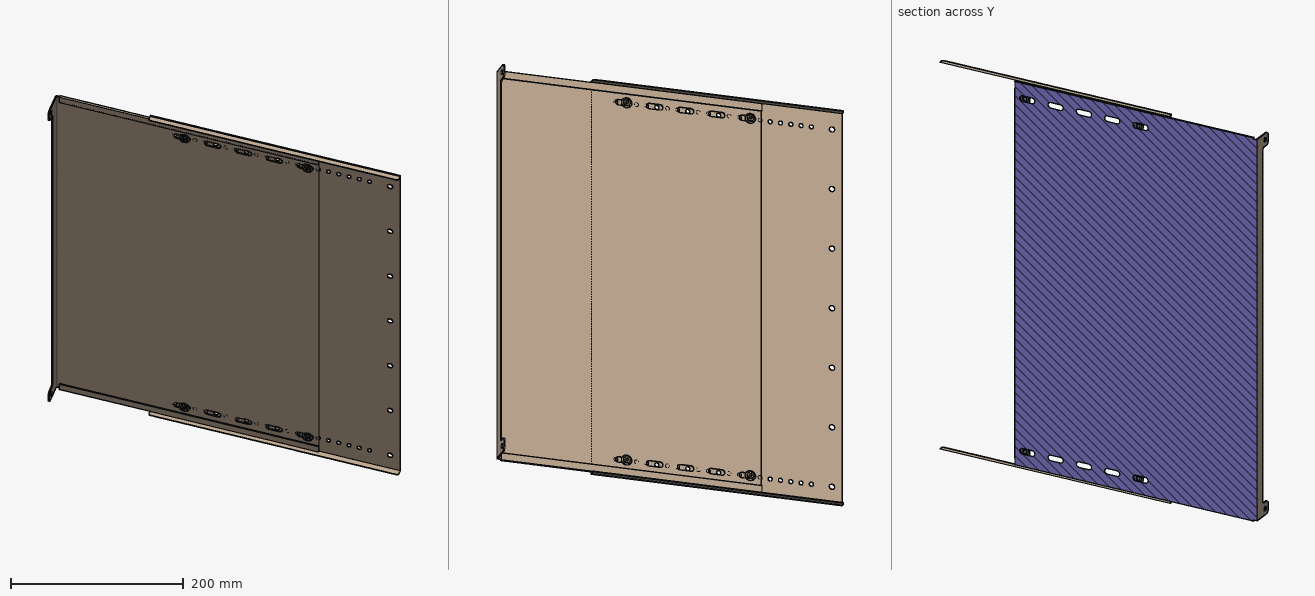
import cadquery as cq
HEIGHT = 494.5
FRONT_SHEET = 1.5
REAR_SHEET = 1.0
WIDTH = 420.0
LEFT_END = -WIDTH / 2
RIGHT_END = WIDTH / 2
BACK_Y = 11.5
JOINT_Y = BACK_Y - REAR_SHEET

ROW_Z = 225.0
ROW_HEIGHTS = (ROW_Z, -ROW_Z)
EDGE_HOLE_COUNT = 7
EDGE_HOLE_PITCH = 2 * ROW_Z / (EDGE_HOLE_COUNT - 1)
HOLE_PITCH = EDGE_HOLE_PITCH / 6
SHANK_DIAMETER = 5.0
EDGE_HOLE_X = RIGHT_END - HOLE_PITCH
LAST_HOLE_STEPS = 2
LAST_HOLE_X = EDGE_HOLE_X - LAST_HOLE_STEPS * HOLE_PITCH
ROW_HOLE_COUNT = 20
BOLT_STEPS = (18, 6)
BOLT_XS = [LAST_HOLE_X - steps * HOLE_PITCH for steps in BOLT_STEPS]
BOLT_PLACES = [(x, z) for x in BOLT_XS for z in ROW_HEIGHTS]

REAR_LENGTH = 304.5
REAR_FLANGE_DEPTH = 8.0
REAR_CORNER_RADIUS = 2.5
EDGE_HOLE_DIAMETER = 6.5

FRONT_RIGHT = 111.5
HEM_LEFT = -204.5
HEM_WIDTH = 9.0
FRONT_TOP = 245.0
END_FLANGE_TOP = 243.5
END_FLANGE_FRONT = -5.0
TAB_FRONT = -18.0
TAB_HEIGHT = 16.5
TAB_CORNER_RADIUS = 4.5
TAB_ROOT_RADIUS = 3.0
BEND_RADIUS = 0.5
TAB_HOLE_DIAMETER = 5.5
TAB_HOLE_Y = -10.5
TAB_HOLE_Z = 235.5
SLOT_COUNT = 5
SLOT_PITCH = 3 * HOLE_PITCH
SLOT_LENGTH = 20.0
SLOT_WIDTH = 7.0
LAST_SLOT_X = 94.5

BOLT_TIP_Y = 18.0
COLLAR_DIAMETER = 12.5
COLLAR_THICKNESS = 1.0
HEAD_DIAMETER = 8.0
HEAD_HEIGHT = 2.0
SOCKET_SIZE = 3.5
SOCKET_DEPTH = 1.5


def block(x_min, x_max, y_min, y_max, z_min, z_max):
    """Box between the given limits."""
    size = (x_max - x_min, y_max - y_min, z_max - z_min)
    return cq.Workplane("XY").box(*size, centered=False).translate((x_min, y_min, z_min))


def sketch_plane(y):
    """Plane at the given Y whose local axes are X and Z; positive extrusion runs toward -Y."""
    return cq.Workplane("XZ", origin=(0, y, 0))


def round_cutters(points, diameter, length, start_y):
    """Cylinders at the given (X, Z) points, running from start_y toward -Y."""
    return sketch_plane(start_y).pushPoints(points).circle(diameter / 2).extrude(length)


def make_rear_panel():
    """Flat sheet with a forward flange along its top and bottom edges, and round holes."""
    left = RIGHT_END - REAR_LENGTH
    top = HEIGHT / 2
    panel = block(left, RIGHT_END, JOINT_Y, BACK_Y, -top, top)
    flange = block(left, RIGHT_END, BACK_Y - REAR_FLANGE_DEPTH, BACK_Y, top - REAR_SHEET, top)
    flange = flange.edges("|Z and <Y").fillet(REAR_CORNER_RADIUS)
    panel = panel.union(flange).union(flange.mirror("XY"))

    row_points = [
        (LAST_HOLE_X - i * HOLE_PITCH, z) for i in range(ROW_HOLE_COUNT) for z in ROW_HEIGHTS
    ]
    row_holes = round_cutters(row_points, SHANK_DIAMETER, REAR_SHEET, BACK_Y)

    edge_points = [(EDGE_HOLE_X, -ROW_Z + i * EDGE_HOLE_PITCH) for i in range(EDGE_HOLE_COUNT)]
    edge_holes = round_cutters(edge_points, EDGE_HOLE_DIAMETER, REAR_SHEET, BACK_Y)
    return panel.cut(row_holes).cut(edge_holes)


def make_end_flange():
    """Upright flange with a rounded tab at each end, joined to a neck by a round bend."""
    outer_x = LEFT_END
    inner_x = LEFT_END + FRONT_SHEET
    flange = block(outer_x, inner_x, END_FLANGE_FRONT, JOINT_Y, -END_FLANGE_TOP, END_FLANGE_TOP)
    upper_tab = block(outer_x, inner_x, TAB_FRONT, JOINT_Y, END_FLANGE_TOP - TAB_HEIGHT, END_FLANGE_TOP)
    flange = flange.union(upper_tab).union(upper_tab.mirror("XY"))
    flange = flange.edges("|X and <Y").fillet(TAB_CORNER_RADIUS)
    tab_root_z = END_FLANGE_TOP - TAB_HEIGHT
    for z in (tab_root_z, -tab_root_z):
        root = cq.selectors.NearestToPointSelector((LEFT_END, END_FLANGE_FRONT, z))
        flange = flange.edges("|X").edges(root).fillet(TAB_ROOT_RADIUS)

    neck = block(outer_x, HEM_LEFT, JOINT_Y - FRONT_SHEET, JOINT_Y, -END_FLANGE_TOP, END_FLANGE_TOP)
    flange = flange.union(neck).clean()
    outside = cq.selectors.NearestToPointSelector((outer_x, JOINT_Y, 0))
    inside = cq.selectors.NearestToPointSelector((inner_x, JOINT_Y - FRONT_SHEET, 0))
    flange = flange.edges("|Z").edges(outside).fillet(BEND_RADIUS + FRONT_SHEET)
    flange = flange.edges("|Z").edges(inside).fillet(BEND_RADIUS)

    hole_points = [(TAB_HOLE_Y, TAB_HOLE_Z), (TAB_HOLE_Y, -TAB_HOLE_Z)]
    tab_holes = (
        cq.Workplane("YZ", origin=(outer_x, 0, 0))
        .pushPoints(hole_points)
        .circle(TAB_HOLE_DIAMETER / 2)
        .extrude(FRONT_SHEET)
    )
    return flange.cut(tab_holes)


def make_front_panel():
    """Sheet with a closed hem along top and bottom, slots, and a bent flange on its left end."""
    front_y = JOINT_Y - FRONT_SHEET
    panel = block(HEM_LEFT, FRONT_RIGHT, front_y, JOINT_Y, -FRONT_TOP, FRONT_TOP)
    hem = block(HEM_LEFT, FRONT_RIGHT, front_y - FRONT_SHEET, front_y, FRONT_TOP - HEM_WIDTH, FRONT_TOP)
    panel = panel.union(hem).union(hem.mirror("XY")).union(make_end_flange()).clean()

    slot_points = [(LAST_SLOT_X - i * SLOT_PITCH, z) for i in range(SLOT_COUNT) for z in ROW_HEIGHTS]
    slots = (
        sketch_plane(JOINT_Y)
        .pushPoints(slot_points)
        .slot2D(SLOT_LENGTH, SLOT_WIDTH)
        .extrude(FRONT_SHEET)
    )
    return panel.cut(slots)


def make_bolt(x, z):
    """Bolt with a collared round head seated on the front panel and a hexagon socket."""
    seat_y = JOINT_Y - FRONT_SHEET
    head_y = seat_y - COLLAR_THICKNESS - HEAD_HEIGHT
    shank = sketch_plane(BOLT_TIP_Y).circle(SHANK_DIAMETER / 2).extrude(BOLT_TIP_Y - seat_y)
    collar = sketch_plane(seat_y).circle(COLLAR_DIAMETER / 2).extrude(COLLAR_THICKNESS)
    head = sketch_plane(seat_y).circle(HEAD_DIAMETER / 2).extrude(seat_y - head_y)
    socket = sketch_plane(head_y + SOCKET_DEPTH).polygon(6, SOCKET_SIZE).extrude(SOCKET_DEPTH)
    return shank.union(collar).union(head).cut(socket).translate((x, 0, z))


rear_panel = make_rear_panel()
front_panel = make_front_panel()
bolts = [make_bolt(x, z) for x, z in BOLT_PLACES]

result = cq.Compound.makeCompound(
    [rear_panel.val(), front_panel.val(), *[bolt.val() for bolt in bolts]]
)